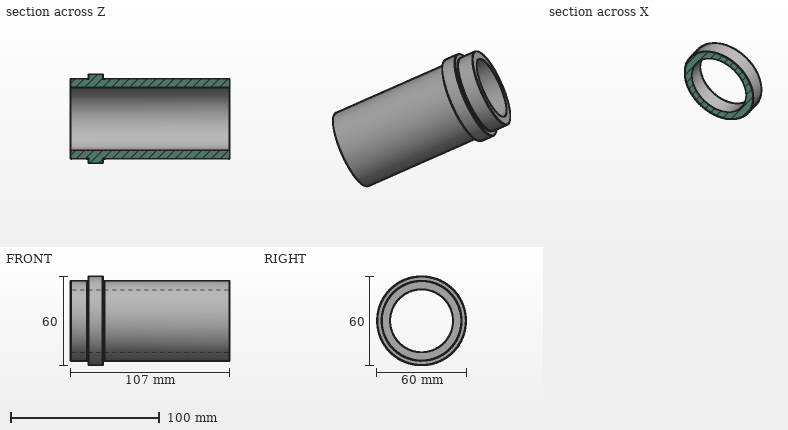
import cadquery as cq

length = 107.0
body_diameter = 54.0
bore_diameter = 42.0
collar_diameter = 60.0
collar_start = 12.0
collar_width = 10.0
edge_chamfer = 0.4
bore_chamfer = 0.2

groove_width = 1.0
groove_depth = 0.2

body_radius = body_diameter / 2
bore_radius = bore_diameter / 2
collar_radius = collar_diameter / 2
collar_end = collar_start + collar_width
groove_radius = body_radius - groove_depth

section = [
    (bore_chamfer, bore_radius),
    (0, bore_radius + bore_chamfer),
    (0, body_radius - edge_chamfer),
    (edge_chamfer, body_radius),
    (collar_start - groove_width, body_radius),
    (collar_start - groove_width, groove_radius),
    (collar_start, groove_radius),
    (collar_start, collar_radius - edge_chamfer),
    (collar_start + edge_chamfer, collar_radius),
    (collar_end - edge_chamfer, collar_radius),
    (collar_end, collar_radius - edge_chamfer),
    (collar_end, groove_radius),
    (collar_end + groove_width, groove_radius),
    (collar_end + groove_width, body_radius),
    (length - edge_chamfer, body_radius),
    (length, body_radius - edge_chamfer),
    (length, bore_radius + bore_chamfer),
    (length - bore_chamfer, bore_radius),
]

result = cq.Workplane("XY").polyline(section).close().revolve(360, (0, 0, 0), (1, 0, 0))